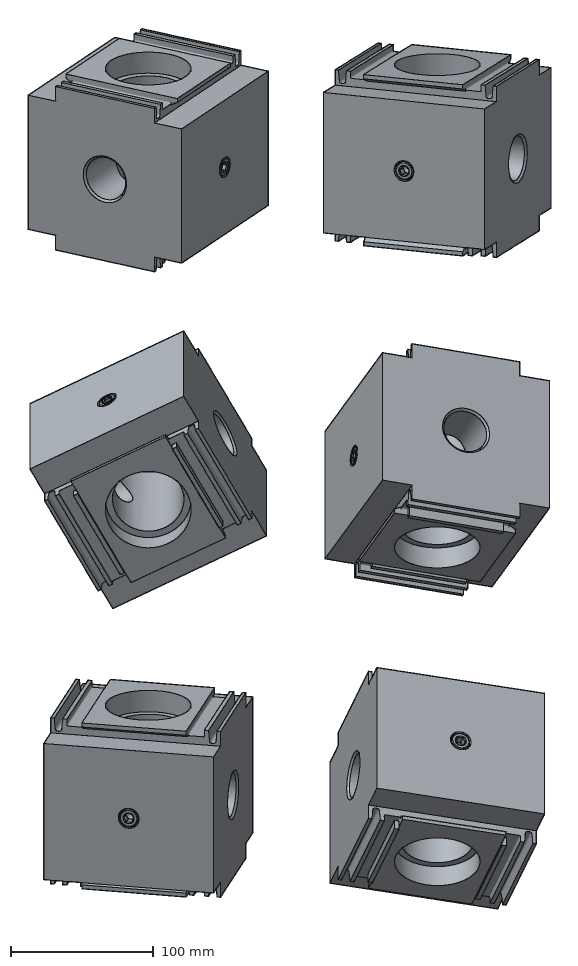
import cadquery as cq
import math

width = 124.0
length = 122.0
height = 124.0

neck_width = 80.0
neck_height = 11.1

pad_width = 90.0
pad_length = 75.0
pad_lip = 3.0
pad_slope_angle = 30

recess_depth = 5.0
recess_fillet = 1.0

outer_wall = 2.5
groove_top_width = 6.0
groove_bottom_width = 4.4
groove_depth = 9.5
groove_fillet = 2.0
rib_width = 3.0

bore_diameter = 50.0
counterbore_diameter = 60.0
counterbore_depth = 16.0

port_chamfer_diameter = 34.9
port_mouth_diameter = 31.8
port_inner_diameter = 29.7

key_width = 70.0
key_thickness = 3.3
key_overhang = 2.0

plug_seat_diameter = 14.9
plug_diameter = 13.4
plug_face_diameter = 11.8
plug_length = 10.1
socket_chamfer_diameter = 8.1
socket_width = 6.3
socket_depth = 6.9
socket_tip_angle = 118
hexagon_turn = 30


def centred_box(x_size, y_size, z_size):
    return cq.Workplane("XY").box(x_size, y_size, z_size)


def make_block():
    """Full-width middle of the block with a narrower neck above and below."""
    middle = centred_box(width, length, height - 2 * neck_height)
    neck = centred_box(neck_width, length, height)
    return middle.union(neck)


def make_recess(side):
    """Tool for the recess beside the pad on the top neck, at +Y or -Y."""
    inner_y = pad_length / 2
    outer_y = length / 2 - outer_wall - groove_top_width - rib_width
    return (
        centred_box(width, outer_y - inner_y, 2 * recess_depth)
        .edges("|X and <Z")
        .fillet(recess_fillet)
        .translate((0, side * (inner_y + outer_y) / 2, height / 2))
    )


def make_groove(side):
    """Tool for the tapered groove in the top neck, at +Y or -Y."""
    centre_y = side * (length / 2 - outer_wall - groove_top_width / 2)
    top = height / 2
    return (
        cq.Workplane("YZ")
        .polyline([
            (centre_y - groove_top_width / 2, top),
            (centre_y + groove_top_width / 2, top),
            (centre_y + groove_bottom_width / 2, top - groove_depth),
            (centre_y - groove_bottom_width / 2, top - groove_depth),
        ])
        .close()
        .extrude(width / 2, both=True)
        .edges("|X and <Z")
        .fillet(groove_fillet)
    )


def make_pad():
    """Dovetail pad on the top neck, overhanging the neck at both X ends."""
    top = height / 2
    overhang = (pad_width - neck_width) / 2
    slope_drop = overhang * math.tan(math.radians(pad_slope_angle))
    return (
        cq.Workplane("XZ")
        .polyline([
            (-pad_width / 2, top),
            (pad_width / 2, top),
            (pad_width / 2, top - pad_lip),
            (neck_width / 2, top - pad_lip - slope_drop),
            (-neck_width / 2, top - pad_lip - slope_drop),
            (-pad_width / 2, top - pad_lip),
        ])
        .close()
        .extrude(pad_length / 2, both=True)
    )


def make_bore():
    """Through bore with an equal counterbore at the top and the bottom."""
    bore = cq.Workplane("XY").circle(bore_diameter / 2).extrude(height, both=True)
    counterbore = (
        cq.Workplane("XY")
        .workplane(offset=height / 2 - counterbore_depth)
        .circle(counterbore_diameter / 2)
        .extrude(counterbore_depth)
    )
    return bore.union(counterbore).union(counterbore.mirror("XY"))


def make_port():
    """Tool for the port in the -Y face: 45 degree chamfer, then a taper down to the bore."""
    chamfer = (port_chamfer_diameter - port_mouth_diameter) / 2
    face_y = -length / 2
    return (
        cq.Workplane("XY")
        .polyline([
            (0, face_y),
            (port_chamfer_diameter / 2, face_y),
            (port_mouth_diameter / 2, face_y + chamfer),
            (port_inner_diameter / 2, -bore_diameter / 2),
            (port_inner_diameter / 2, 0),
            (0, 0),
        ])
        .close()
        .revolve(360, (0, 0, 0), (0, 1, 0))
    )


def make_plug_hole():
    """Tool for the chamfered blind hole in the -X face."""
    chamfer = (plug_seat_diameter - plug_diameter) / 2
    face_x = -width / 2
    return (
        cq.Workplane("XY")
        .polyline([
            (face_x, 0),
            (face_x, plug_seat_diameter / 2),
            (face_x + chamfer, plug_diameter / 2),
            (face_x + plug_length, plug_diameter / 2),
            (face_x + plug_length, 0),
        ])
        .close()
        .revolve(360, (0, 0, 0), (1, 0, 0))
    )


def make_key(side):
    """Key strip hanging from the bottom recess floor against the pad, at +Y or -Y."""
    key_height = recess_depth + key_overhang
    centre_y = side * (pad_length + key_thickness) / 2
    centre_z = -height / 2 + recess_depth - key_height / 2
    return centred_box(key_width, key_thickness, key_height).translate((0, centre_y, centre_z))


def make_housing():
    housing = make_block()
    for side in (-1, 1):
        for cutter in (make_recess(side), make_groove(side)):
            housing = housing.cut(cutter).cut(cutter.mirror("XY"))
    pad = make_pad()
    housing = housing.union(pad).union(pad.mirror("XY"))
    for side in (-1, 1):
        housing = housing.union(make_key(side))
    port = make_port()
    plug_hole = make_plug_hole()
    housing = housing.cut(make_bore())
    housing = housing.cut(port).cut(port.mirror("XZ"))
    return housing.cut(plug_hole).cut(plug_hole.mirror("YZ"))


def make_socket():
    """Tool for the hexagon socket in the -X face: chamfered mouth, flats, drilled tip."""
    face_x = -width / 2
    chamfer_radius = socket_chamfer_diameter / 2
    drill_radius = socket_width / 2
    tip_length = drill_radius / math.tan(math.radians(socket_tip_angle / 2))
    hexagon = (
        cq.Workplane("YZ", origin=(face_x, 0, 0))
        .polygon(6, socket_width, circumscribed=True)
        .extrude(socket_depth)
        .rotate((0, 0, 0), (1, 0, 0), hexagon_turn)
    )
    mouth = (
        cq.Workplane("XY")
        .polyline([(face_x, 0), (face_x, chamfer_radius), (face_x + chamfer_radius, 0)])
        .close()
        .revolve(360, (0, 0, 0), (1, 0, 0))
    )
    drill_end = face_x + socket_depth
    tip = (
        cq.Workplane("XY")
        .polyline([(drill_end, 0), (drill_end, drill_radius), (drill_end + tip_length, 0)])
        .close()
        .revolve(360, (0, 0, 0), (1, 0, 0))
    )
    return hexagon.union(mouth).union(tip)


def make_plug():
    """Plug flush with the -X face, with a chamfered rim and a hexagon socket."""
    return (
        cq.Workplane("YZ", origin=(-width / 2, 0, 0))
        .circle(plug_diameter / 2)
        .extrude(plug_length)
        .faces("<X")
        .chamfer((plug_diameter - plug_face_diameter) / 2)
        .cut(make_socket())
    )


housing = make_housing()
plugs = [make_plug().rotate((0, 0, 0), (0, 0, 1), angle) for angle in (0, 180)]

result = cq.Compound.makeCompound([housing.val()] + [plug.val() for plug in plugs])